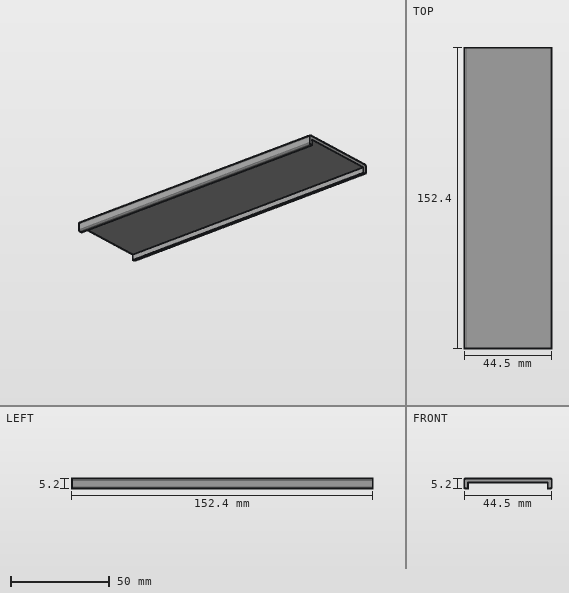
import cadquery as cq

length = 152.4
width = 44.5
height = 5.2

web_thickness = 2.1
flange_thickness = 2.1
top_radius = 0.9
foot_radius = 0.9

cover = cq.Workplane("XY").box(width, length, height, centered=(True, True, False))

inner_width = width - 2 * flange_thickness
inner_height = height - web_thickness
channel = cq.Workplane("XY").box(inner_width, length, inner_height, centered=(True, True, False))
cover = cover.cut(channel)

cover = cover.faces(">Z").edges("|Y").fillet(top_radius)
cover = cover.edges("|Y and (<X or >X)").edges("<Z").fillet(foot_radius)

result = cover